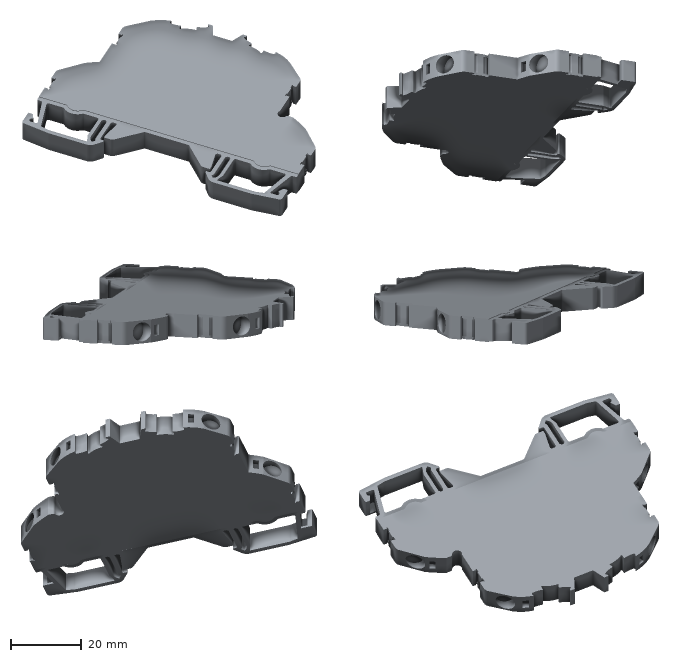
import math

import cadquery as cq

WIDTH = 81.0
HEIGHT = 61.0
BODY_THICKNESS = 6.7
FOOT_INSET = 0.2
FOOT_THICKNESS = BODY_THICKNESS - 2 * FOOT_INSET

HALF_WIDTH = WIDTH / 2
TOP = HEIGHT / 2
BOTTOM = -HEIGHT / 2

SEAM_Y = -17.5
SHOULDER_Y = 3.96
SHOULDER_CREST_X = 29.1
SHOULDER_BEND = (34.5, 0.9)
SHOULDER_END = (HALF_WIDTH, -5.3)
FLANK_CORNER_RADIUS = 2.0

TOWER_X = -3.07
TOWER_HALF_WIDTH = 27.72
TOWER_BASE_Y = 0.0
TOWER_BEND = (21.75, 25.05)
TOWER_CORNER = (TOWER_HALF_WIDTH, 19.6)
SADDLE_Y = 26.7

GROOVE_CENTRE = (25.85, 4.15)
GROOVE_RADIUS = 1.45
GROOVE_LIP_RADIUS = 0.6

NOTCH_HALF_HEIGHT = 2.25
NOTCH_DEPTH = 1.37
NOTCH_UNDERCUT = 0.32
NOTCH_PAD_RISE = 0.3
NOTCH_PAD_HALF_HEIGHT = 1.33
TOWER_NOTCH_Y = 13.95
BODY_NOTCH_Y = -11.05
LATCH_START = 0.9
LATCH_DEPTH = 0.9
LATCH_WIDTH = 5.2

ENTRY_DIAMETER = 5.5
ENTRY_ANGLE = math.radians(66)
TOWER_ENTRY_Y = 23.6
TOWER_ENTRY_DEPTH = 2.6
SHOULDER_ENTRY_Y = -1.15
SHOULDER_ENTRY_DEPTH = 1.9
DRIVER_SLOT_LENGTH = 3.1
DRIVER_SLOT_WIDTH = 1.8
DRIVER_SLOT_DEPTH = 1.5
TOWER_SLOT = (18.4, 26.8)
SHOULDER_SLOT = (32.6, 2.0)

STRIP_HEIGHT = 1.3
STRIP_Y = SEAM_Y - STRIP_HEIGHT
STRIP_CHAMFER = 0.25
BULGE_X = 29.1
BULGE_HALF_WIDTH = 2.5
BULGE_WALL = 0.5
BULGE_BLEND_RADIUS = 0.8
HOOK_TOP_Y = -24.8
HOOK_LEAD_IN = 0.1
HOOK_FLOOR_THICKNESS = 0.6
FINGER_SLOT_BEVEL = 0.5
WEDGE_TIP = (13.9, -25.7)
WEDGE_ROOT = (6.9, STRIP_Y)
WEDGE_TIP_RADIUS = 1.3
WEDGE_ROOT_RADIUS = 0.6
LEG_ROOT = (38.85, STRIP_Y)
LEG_ROOT_RADIUS = 0.6
WINDOW_CORNERS = [(37.4, STRIP_Y), (21.1, STRIP_Y)]
WINDOW_RADIUS = 0.5


def both_sides(half):
    """Join a half shape with its reflection about the YZ plane."""
    return half.union(half.mirror("YZ"))


def slab(outline, thickness):
    """Extrude a closed outline symmetrically about Z = 0."""
    return outline.close().extrude(thickness / 2, both=True)


def polygon(points, thickness):
    return slab(cq.Workplane("XY").polyline(points), thickness)


def round_corner(solid, corner, radius):
    """Fillet the edge parallel to Z that passes through the given XY corner."""
    return solid.edges("|Z").edges(cq.NearestToPointSelector((*corner, 0))).fillet(radius)


def bulge(half_width, chord_y, depth, thickness):
    """Circular segment hanging below a horizontal chord at the bulge position."""
    outline = (
        cq.Workplane("XY")
        .moveTo(BULGE_X - half_width, chord_y)
        .threePointArc((BULGE_X, chord_y - depth), (BULGE_X + half_width, chord_y))
    )
    return slab(outline, thickness)


def blend_bulge(solid, half_width, chord_y):
    """Fillet both corners where a bulge meets its straight chord."""
    for side in (-1, 1):
        solid = round_corner(solid, (BULGE_X + side * half_width, chord_y), BULGE_BLEND_RADIUS)
    return solid


def notch(face_x, centre_y):
    """Cutter for a notch with undercut corners, a raised pad and two latch ramps."""
    floor_x = face_x - NOTCH_DEPTH
    pad_x = floor_x + NOTCH_PAD_RISE
    clear_x = face_x + 1.0
    undercut_half = NOTCH_HALF_HEIGHT + NOTCH_UNDERCUT
    upper = [
        (clear_x, NOTCH_HALF_HEIGHT),
        (pad_x, NOTCH_HALF_HEIGHT),
        (pad_x, undercut_half),
        (floor_x, undercut_half),
        (floor_x, NOTCH_PAD_HALF_HEIGHT),
        (pad_x, NOTCH_PAD_HALF_HEIGHT),
    ]
    lower = [(x, -y) for x, y in reversed(upper)]
    cutter = polygon([(x, centre_y + y) for x, y in upper + lower], 2 * BODY_THICKNESS)
    ramp_middle = (LATCH_START + undercut_half) / 2
    half_chord = math.hypot(LATCH_DEPTH, undercut_half - LATCH_START) / 4
    ramp_slope = math.atan2(LATCH_DEPTH, undercut_half - LATCH_START)
    sagitta = half_chord * math.tan(ramp_slope / 2)
    for side in (-1, 1):
        start = (pad_x, centre_y + side * LATCH_START)
        middle = (pad_x - LATCH_DEPTH / 2, centre_y + side * ramp_middle)
        end = (pad_x - LATCH_DEPTH, centre_y + side * undercut_half)
        ramp = (
            cq.Workplane("XY")
            .moveTo(*start)
            .sagittaArc(middle, side * sagitta)
            .sagittaArc(end, -side * sagitta)
            .lineTo(pad_x, end[1])
        )
        cutter = cutter.union(slab(ramp, LATCH_WIDTH))
    return cutter


def wire_entry(start, end, centre_y, depth):
    """Steep round blind hole in a flank; it also clears the material outside."""
    fraction = (centre_y - start[1]) / (end[1] - start[1])
    centre_x = start[0] + fraction * (end[0] - start[0])
    inward = cq.Vector(-math.cos(ENTRY_ANGLE), -math.sin(ENTRY_ANGLE), 0)
    mouth = cq.Vector(centre_x, centre_y, 0) - inward * ENTRY_DIAMETER
    hole = cq.Solid.makeCylinder(ENTRY_DIAMETER / 2, ENTRY_DIAMETER + depth, mouth, inward)
    return cq.Workplane("XY").add(hole)


def driver_slot(start, end, position):
    """Shallow rectangular slot across a curved shoulder, square to its chord."""
    run = end[0] - start[0]
    fall = end[1] - start[1]
    plane = cq.Plane(origin=(*position, 0), xDir=(run, fall, 0), normal=(fall, -run, 0))
    profile = cq.Workplane(plane).rect(DRIVER_SLOT_WIDTH, DRIVER_SLOT_LENGTH)
    return profile.extrude(DRIVER_SLOT_DEPTH, both=True)


def tower():
    crest = (16.2, 27.5)
    outline = (
        cq.Workplane("XY")
        .moveTo(0, TOWER_BASE_Y)
        .lineTo(0, SADDLE_Y)
        .lineTo(3.0, SADDLE_Y)
        .lineTo(4.7, TOP)
        .lineTo(6.0, TOP)
        .lineTo(6.0, 30.05)
        .lineTo(5.4, 29.45)
        .threePointArc((6.9, 28.6), (8.5, 28.1))
        .lineTo(8.5, 27.6)
        .lineTo(8.1, 26.8)
        .threePointArc((10.2, 26.45), (12.2, 25.65))
        .lineTo(12.5, 25.4)
        .lineTo(12.9, 25.4)
        .lineTo(12.9, SADDLE_Y)
        .threePointArc((14.6, 26.4), (16.2, 26.4))
        .lineTo(16.45, 26.95)
        .lineTo(*crest)
        .threePointArc((19.3, 26.5), TOWER_BEND)
        .lineTo(*TOWER_CORNER)
        .lineTo(TOWER_HALF_WIDTH, TOWER_BASE_Y)
    )
    half = (
        round_corner(slab(outline, BODY_THICKNESS), TOWER_CORNER, FLANK_CORNER_RADIUS)
        .cut(notch(TOWER_HALF_WIDTH, TOWER_NOTCH_Y))
        .cut(wire_entry(TOWER_BEND, TOWER_CORNER, TOWER_ENTRY_Y, TOWER_ENTRY_DEPTH))
        .cut(driver_slot(crest, TOWER_BEND, TOWER_SLOT))
    )
    return both_sides(half).translate((TOWER_X, 0, 0))


def lower_body():
    crest = (SHOULDER_CREST_X, SHOULDER_Y)
    outline = (
        cq.Workplane("XY")
        .moveTo(0, SEAM_Y)
        .lineTo(HALF_WIDTH, SEAM_Y)
        .lineTo(*SHOULDER_END)
        .lineTo(*SHOULDER_BEND)
        .threePointArc((32.2, 2.35), crest)
        .lineTo(0, SHOULDER_Y)
    )
    half = (
        round_corner(slab(outline, BODY_THICKNESS), SHOULDER_END, FLANK_CORNER_RADIUS)
        .union(bulge(BULGE_HALF_WIDTH, SEAM_Y, STRIP_HEIGHT, BODY_THICKNESS))
    )
    half = (
        blend_bulge(half, BULGE_HALF_WIDTH, SEAM_Y)
        .cut(notch(HALF_WIDTH, BODY_NOTCH_Y))
        .cut(wire_entry(SHOULDER_BEND, SHOULDER_END, SHOULDER_ENTRY_Y, SHOULDER_ENTRY_DEPTH))
    )
    return both_sides(half)


def shoulder_groove():
    """Round groove that separates the right shoulder from the tower."""
    return (
        cq.Workplane("XY")
        .center(*GROOVE_CENTRE)
        .circle(GROOVE_RADIUS)
        .extrude(BODY_THICKNESS, both=True)
    )


def shoulder_slots():
    return both_sides(driver_slot((SHOULDER_CREST_X, SHOULDER_Y), SHOULDER_BEND, SHOULDER_SLOT))


def foot_window():
    """Large opening between the outer leg and the finger."""
    opening = polygon(
        [
            WINDOW_CORNERS[0],
            (34.8, -28.7),
            (32.3, -29.25),
            (20.3, -29.25),
            (20.4, -28.7),
            (21.1, -26.7),
            WINDOW_CORNERS[1],
        ],
        BODY_THICKNESS,
    )
    for corner in WINDOW_CORNERS:
        opening = round_corner(opening, corner, WINDOW_RADIUS)
    half_width = BULGE_HALF_WIDTH + BULGE_WALL
    opening = opening.cut(bulge(half_width, STRIP_Y, STRIP_HEIGHT, BODY_THICKNESS))
    return blend_bulge(opening, half_width, STRIP_Y)


def finger_slot():
    """Narrow slot that makes the clamping finger springy."""
    outline = (
        cq.Workplane("XY")
        .moveTo(20.05, STRIP_Y - FINGER_SLOT_BEVEL)
        .lineTo(20.05, -26.9)
        .threePointArc((19.6, -28.1), (18.8, -28.75))
        .lineTo(18.1, -27.9)
        .lineTo(18.5, -27.3)
        .lineTo(18.5, STRIP_Y - FINGER_SLOT_BEVEL)
        .lineTo(18.5 + FINGER_SLOT_BEVEL, STRIP_Y)
        .lineTo(20.05 - FINGER_SLOT_BEVEL, STRIP_Y)
    )
    return slab(outline, BODY_THICKNESS)


def hook_pocket():
    """Pocket inside the outer hook, open at the top and closed by a thin floor."""
    pocket = polygon(
        [
            (37.15, HOOK_TOP_Y),
            (36.3, -27.7),
            (36.5, -28.0),
            (38.7, -28.0),
            (39.0, -27.3),
            (38.75, -26.8),
            (38.2, -26.4),
            (39.1, HOOK_TOP_Y),
        ],
        FOOT_THICKNESS,
    )
    return pocket.translate((0, 0, HOOK_FLOOR_THICKNESS))


def foot():
    outline = (
        cq.Workplane("XY")
        .moveTo(0, SEAM_Y)
        .lineTo(HALF_WIDTH, SEAM_Y)
        .lineTo(HALF_WIDTH, STRIP_Y + STRIP_CHAMFER)
        .lineTo(HALF_WIDTH - STRIP_CHAMFER, STRIP_Y)
        .lineTo(*LEG_ROOT)
        .lineTo(37.15, HOOK_TOP_Y)
        .lineTo(HALF_WIDTH - HOOK_LEAD_IN, HOOK_TOP_Y)
        .lineTo(HALF_WIDTH, -25.4)
        .lineTo(HALF_WIDTH, -28.6)
        .threePointArc((40.3, -29.2), (39.8, -29.5))
        .lineTo(37.7, -29.75)
        .lineTo(32.1, -30.44)
        .lineTo(31.6, BOTTOM)
        .lineTo(19.7, BOTTOM)
        .threePointArc((18.55, -30.2), (17.6, -29.4))
        .lineTo(15.9, -27.4)
        .lineTo(15.9, -26.9)
        .lineTo(16.95, -26.9)
        .lineTo(17.25, -26.6)
        .lineTo(17.25, STRIP_Y - 0.4)
        .lineTo(16.85, STRIP_Y)
        .lineTo(15.75, STRIP_Y)
        .lineTo(15.4, STRIP_Y - 0.4)
        .lineTo(16.5, -24.5)
        .lineTo(16.5, -25.7)
        .lineTo(*WEDGE_TIP)
        .lineTo(*WEDGE_ROOT)
        .lineTo(0, STRIP_Y)
    )
    half = slab(outline, FOOT_THICKNESS)
    half = round_corner(half, WEDGE_TIP, WEDGE_TIP_RADIUS)
    half = round_corner(half, WEDGE_ROOT, WEDGE_ROOT_RADIUS)
    half = round_corner(half, LEG_ROOT, LEG_ROOT_RADIUS)
    half = half.cut(foot_window()).cut(finger_slot()).cut(hook_pocket())
    return both_sides(half)


body = lower_body().union(tower()).cut(shoulder_groove()).cut(shoulder_slots())
groove_rise = SHOULDER_Y - GROOVE_CENTRE[1]
groove_lip = (GROOVE_CENTRE[0] + math.sqrt(GROOVE_RADIUS**2 - groove_rise**2), SHOULDER_Y)
body = round_corner(body, groove_lip, GROOVE_LIP_RADIUS)
result = body.union(foot())